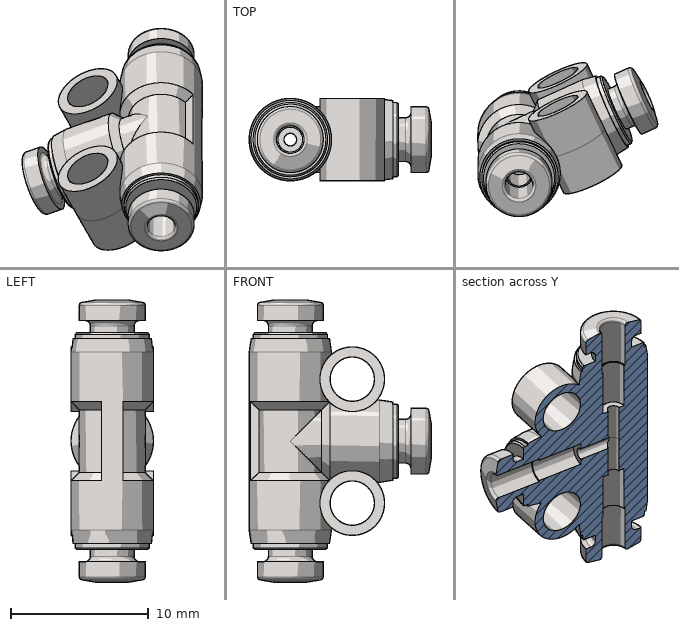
import cadquery as cq
import math


BODY_RADIUS = 3.0
WAIST_RADIUS = 2.4
SHOULDER_START = 2.87
WAIST_LENGTH = SHOULDER_START - (BODY_RADIUS - WAIST_RADIUS)
TAPER_START = 6.46
TAPER_END = 7.45
TAPER_END_RADIUS = 2.85

COLLAR_RADIUS = 2.7
COLLAR_END = 7.87
COLLAR_CHAMFER = 0.12

NECK_RADIUS = 1.6
NECK_FILLET = 0.38
FLANGE_RADIUS = 2.4
FLANGE_START = 8.75
FLANGE_ROUND_START = 9.85
FLANGE_ROUND = 0.23
PORT_END = 10.25
FACE_TILT = math.radians(9.9)

BORE_RADIUS = 1.0
MOUTH_ROUND = 0.22
SEAT_RADIUS = 0.9
SEAT_FLOOR = SHOULDER_START
SEAT_TOP = TAPER_START
PASSAGE_RADIUS = 0.45

RIB_WIDTH = 1.56

EYE_OFFSET = 4.5
EYE_RADIUS = 2.35
EYE_HOLE_RADIUS = 1.6
EYE_LENGTH = 2 * BODY_RADIUS


def arc_point(center, radius, angle):
    """Point on a circle at the given angle."""
    return (center[0] + radius * math.cos(angle), center[1] + radius * math.sin(angle))


def make_port():
    """Outside of one port, revolved about Z from the tee centre upwards."""
    neck_center = (NECK_RADIUS + NECK_FILLET, FLANGE_START - NECK_FILLET)
    neck_middle = arc_point(neck_center, NECK_FILLET, 3 * math.pi / 4)

    rim_center = (FLANGE_RADIUS - FLANGE_ROUND, FLANGE_ROUND_START)
    rim_end_angle = math.pi / 2 - FACE_TILT
    rim_middle = arc_point(rim_center, FLANGE_ROUND, rim_end_angle / 2)
    rim_end = arc_point(rim_center, FLANGE_ROUND, rim_end_angle)

    profile = (
        cq.Workplane("XZ")
        .moveTo(0, 0)
        .lineTo(WAIST_RADIUS, 0)
        .lineTo(WAIST_RADIUS, WAIST_LENGTH)
        .lineTo(BODY_RADIUS, SHOULDER_START)
        .lineTo(BODY_RADIUS, TAPER_START)
        .lineTo(TAPER_END_RADIUS, TAPER_END)
        .lineTo(COLLAR_RADIUS, TAPER_END)
        .lineTo(COLLAR_RADIUS, COLLAR_END - COLLAR_CHAMFER)
        .lineTo(COLLAR_RADIUS - COLLAR_CHAMFER, COLLAR_END)
        .lineTo(NECK_RADIUS, COLLAR_END)
        .lineTo(NECK_RADIUS, FLANGE_START - NECK_FILLET)
        .threePointArc(neck_middle, (NECK_RADIUS + NECK_FILLET, FLANGE_START))
        .lineTo(FLANGE_RADIUS, FLANGE_START)
        .lineTo(FLANGE_RADIUS, FLANGE_ROUND_START)
        .threePointArc(rim_middle, rim_end)
        .lineTo(BORE_RADIUS + MOUTH_ROUND, PORT_END)
        .lineTo(0, PORT_END)
        .close()
    )
    return profile.revolve(360, (0, 0, 0), (0, 1, 0))


def make_bore():
    """Cutter for one port: flow passage, seat, tube bore and rounded mouth."""
    mouth_center = (BORE_RADIUS + MOUTH_ROUND, PORT_END - MOUTH_ROUND)
    mouth_middle = arc_point(mouth_center, MOUTH_ROUND, 3 * math.pi / 4)
    profile = (
        cq.Workplane("XZ")
        .moveTo(0, 0)
        .lineTo(PASSAGE_RADIUS, 0)
        .lineTo(PASSAGE_RADIUS, SEAT_FLOOR)
        .lineTo(SEAT_RADIUS, SEAT_FLOOR)
        .lineTo(SEAT_RADIUS, SEAT_TOP)
        .lineTo(BORE_RADIUS, SEAT_TOP)
        .lineTo(BORE_RADIUS, PORT_END - MOUTH_ROUND)
        .threePointArc(mouth_middle, (BORE_RADIUS + MOUTH_ROUND, PORT_END))
        .lineTo(0, PORT_END)
        .close()
    )
    return profile.revolve(360, (0, 0, 0), (0, 1, 0))


def make_rib():
    """Rib on the -X side of the waist, flush with the body cylinder."""
    rib_height = 2 * SHOULDER_START
    slab = (
        cq.Workplane("XY")
        .box(BODY_RADIUS, RIB_WIDTH, rib_height)
        .translate((-BODY_RADIUS / 2, 0, 0))
    )
    envelope = cq.Workplane("XY").circle(BODY_RADIUS).extrude(rib_height / 2, both=True)
    return slab.intersect(envelope)


def eye_cylinders(radius):
    """Cylinders along Y at both mounting eye centres."""
    return (
        cq.Workplane("XZ")
        .pushPoints([(EYE_OFFSET, EYE_OFFSET), (EYE_OFFSET, -EYE_OFFSET)])
        .circle(radius)
        .extrude(EYE_LENGTH / 2, both=True)
    )


PORT_TURNS = (0, 90, 180)

fitting = make_rib()
for turn in PORT_TURNS:
    fitting = fitting.union(make_port().rotate((0, 0, 0), (0, 1, 0), turn))
fitting = fitting.union(eye_cylinders(EYE_RADIUS))

fitting = fitting.cut(eye_cylinders(EYE_HOLE_RADIUS))
for turn in PORT_TURNS:
    fitting = fitting.cut(make_bore().rotate((0, 0, 0), (0, 1, 0), turn))

result = fitting